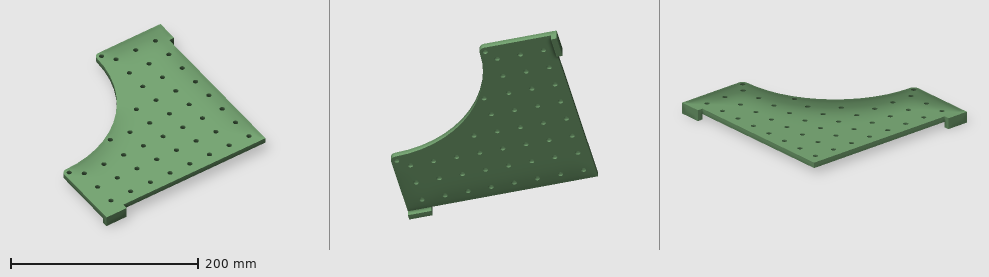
import cadquery as cq
import math

overall_side = 215.5
overall_height = 12.7
plate_thickness = overall_height / 2

tab_reach = plate_thickness
tab_length = 25.9
plate_side = overall_side - tab_reach

corner_radius = 6.0
bolt_circle_radius = 129.5
arc_center = corner_radius
arc_radius = bolt_circle_radius - corner_radius
arc_end = arc_center + arc_radius
corner_center = arc_center + bolt_circle_radius

hole_diameter = 5.5
grid_count = 8
grid_span = 177.8
grid_pitch = grid_span / (grid_count - 1)
grid_start = plate_side - grid_pitch / 2 - grid_span
grid_clear_radius = bolt_circle_radius + hole_diameter
bolt_angles = (0, 30, 90)


def make_plate():
    """Square plate with its tabs and the quarter-arc cutout at the origin corner."""
    diagonal = math.sqrt(0.5)
    arc_middle = arc_center + arc_radius * diagonal
    corner_far = corner_center - corner_radius * diagonal
    corner_near = corner_radius * (1 - diagonal)
    return (
        cq.Workplane("XY")
        .workplane(offset=overall_height - plate_thickness)
        .moveTo(corner_center, 0)
        .lineTo(overall_side, 0)
        .lineTo(overall_side, tab_length)
        .lineTo(plate_side, tab_length)
        .lineTo(plate_side, plate_side)
        .lineTo(tab_length, plate_side)
        .lineTo(tab_length, overall_side)
        .lineTo(0, overall_side)
        .lineTo(0, corner_center)
        .threePointArc((corner_near, corner_far), (arc_center, arc_end))
        .threePointArc((arc_middle, arc_middle), (arc_end, arc_center))
        .threePointArc((corner_far, corner_near), (corner_center, 0))
        .close()
        .extrude(plate_thickness)
    )


def make_hooks():
    """Full-height blocks that carry each tab down below the plate."""
    right_hook = cq.Workplane("XY").box(tab_reach, tab_length, overall_height, centered=False)
    back_hook = cq.Workplane("XY").box(tab_length, tab_reach, overall_height, centered=False)
    return right_hook.translate((plate_side, 0, 0)).union(back_hook.translate((0, plate_side, 0)))


def grid_points():
    """Square grid positions that stay clear of the holes along the arc."""
    places = [grid_start + i * grid_pitch for i in range(grid_count)]
    return [
        (x, y)
        for x in places
        for y in places
        if math.hypot(x - arc_center, y - arc_center) > grid_clear_radius
    ]


def bolt_points():
    """Positions on the bolt circle concentric with the arc."""
    return [
        (
            arc_center + bolt_circle_radius * math.cos(math.radians(angle)),
            arc_center + bolt_circle_radius * math.sin(math.radians(angle)),
        )
        for angle in bolt_angles
    ]


holes = (
    cq.Workplane("XY")
    .pushPoints(grid_points() + bolt_points())
    .circle(hole_diameter / 2)
    .extrude(overall_height)
)

result = make_plate().union(make_hooks()).cut(holes)